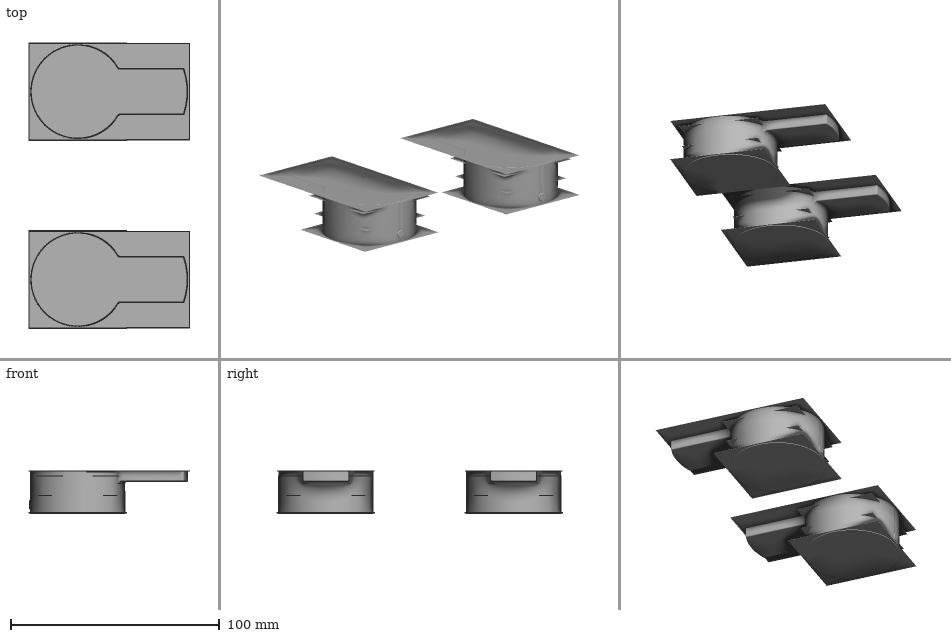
import cadquery as cq
import math

SPACING = 90.0

HEIGHT = 20.4
RADIUS = 22.6

HANDLE_WIDTH = 22.0
HANDLE_THICKNESS = 5.0
HANDLE_REACH = 52.7
HANDLE_END_RADIUS = 34.2
EDGE_FILLET = 0.5
JOINT_FILLET = 1.0
SELECT_SLACK = 0.1

SHEET_THICKNESS = 0.07
EDGE_MARGIN = 23.4
TOP_SHEET_LENGTH = 77.0
TOP_SHEET_WIDTH = 46.2
TOP_SHEET_DROP = 0.07
UPPER_SHEET_LENGTH = 39.3
UPPER_SHEET_WIDTH = 42.7
UPPER_SHEET_Z = 17.8
LOWER_SHEET_SIDE = 37.6
LOWER_SHEET_Z = 8.5
BOTTOM_SHEET_SIDE = 2 * EDGE_MARGIN
BOTTOM_SHEET_Z = 0.3

GROOVE_WIDTH = 3.1
GROOVE_DEPTH = 0.1

PIN_DIAMETER = 4.0
PIN_Z = 4.1
PIN_PROUD = 0.4
PIN_LENGTH = 2.7
PIN_FILLET = 0.3

AXIS_X = EDGE_MARGIN - TOP_SHEET_LENGTH / 2


def make_handle():
    """Bar from the cylinder axis to a rounded free end."""
    half = HANDLE_WIDTH / 2
    end_rise = HANDLE_END_RADIUS - math.sqrt(HANDLE_END_RADIUS**2 - half**2)
    corner_x = HANDLE_REACH - end_rise
    return (
        cq.Workplane("XY", origin=(0, 0, HEIGHT - HANDLE_THICKNESS))
        .moveTo(0, -half)
        .lineTo(corner_x, -half)
        .threePointArc((HANDLE_REACH, 0), (corner_x, half))
        .lineTo(0, half)
        .close()
        .extrude(HANDLE_THICKNESS)
    )


def make_handled_cylinder():
    """Cylinder and handle with the inside corner and the outer edges rounded."""
    body = cq.Workplane("XY").circle(RADIUS).extrude(HEIGHT).union(make_handle())

    half = HANDLE_WIDTH / 2
    joint_x = math.sqrt(RADIUS**2 - half**2)
    handle_bottom = HEIGHT - HANDLE_THICKNESS
    joint_box = cq.selectors.BoxSelector(
        (joint_x - SELECT_SLACK, -half - SELECT_SLACK, handle_bottom - SELECT_SLACK),
        (RADIUS + SELECT_SLACK, half + SELECT_SLACK, HEIGHT - SELECT_SLACK),
    )
    body = body.edges(joint_box).fillet(JOINT_FILLET)

    free_end = cq.selectors.BoxSelector(
        (RADIUS + JOINT_FILLET, -RADIUS, handle_bottom - SELECT_SLACK),
        (HANDLE_REACH + SELECT_SLACK, RADIUS, HEIGHT - SELECT_SLACK),
    )
    body = body.edges(free_end).fillet(EDGE_FILLET)

    return body.faces(">Z").edges().fillet(EDGE_FILLET)


def make_sheet(length, width, z):
    """Thin rectangular sheet centred on the cylinder axis."""
    return cq.Workplane("XY", origin=(0, 0, z)).rect(length, width).extrude(SHEET_THICKNESS)


def make_sheets():
    """The four sheets, from the top one down; the top one also covers the handle."""
    top_z = HEIGHT - TOP_SHEET_DROP - SHEET_THICKNESS
    top_shift = TOP_SHEET_LENGTH / 2 - EDGE_MARGIN
    return [
        make_sheet(TOP_SHEET_LENGTH, TOP_SHEET_WIDTH, top_z).translate((top_shift, 0, 0)),
        make_sheet(UPPER_SHEET_LENGTH, UPPER_SHEET_WIDTH, UPPER_SHEET_Z),
        make_sheet(LOWER_SHEET_SIDE, LOWER_SHEET_SIDE, LOWER_SHEET_Z),
        make_sheet(BOTTOM_SHEET_SIDE, BOTTOM_SHEET_SIDE, BOTTOM_SHEET_Z),
    ]


def make_groove():
    """Triangular cutter for the V groove, over the full height."""
    half = GROOVE_WIDTH / 2
    mouth_x = -math.sqrt(RADIUS**2 - half**2)
    return (
        cq.Workplane("XY")
        .moveTo(-RADIUS + GROOVE_DEPTH, 0)
        .lineTo(mouth_x, half)
        .lineTo(-RADIUS - GROOVE_DEPTH, half)
        .lineTo(-RADIUS - GROOVE_DEPTH, -half)
        .lineTo(mouth_x, -half)
        .close()
        .extrude(HEIGHT)
    )


def make_pin():
    """Round pin along X with a rounded outer end."""
    outer_x = -RADIUS - PIN_PROUD
    return (
        cq.Workplane("YZ", origin=(outer_x, 0, PIN_Z))
        .circle(PIN_DIAMETER / 2)
        .extrude(PIN_LENGTH)
        .faces("<X")
        .edges()
        .fillet(PIN_FILLET)
    )


def make_housing():
    """Handled cylinder with its groove, sheets and the hole for the pin."""
    housing = make_handled_cylinder().cut(make_groove())
    for sheet in make_sheets():
        housing = housing.union(sheet)
    return housing.cut(make_pin())


housing = make_housing()
pin = make_pin()
bodies = []
for side in (-1, 1):
    place = (AXIS_X, side * SPACING / 2, 0)
    bodies.append(housing.translate(place).solids().val())
    bodies.append(pin.translate(place).solids().val())

result = cq.Compound.makeCompound(bodies)